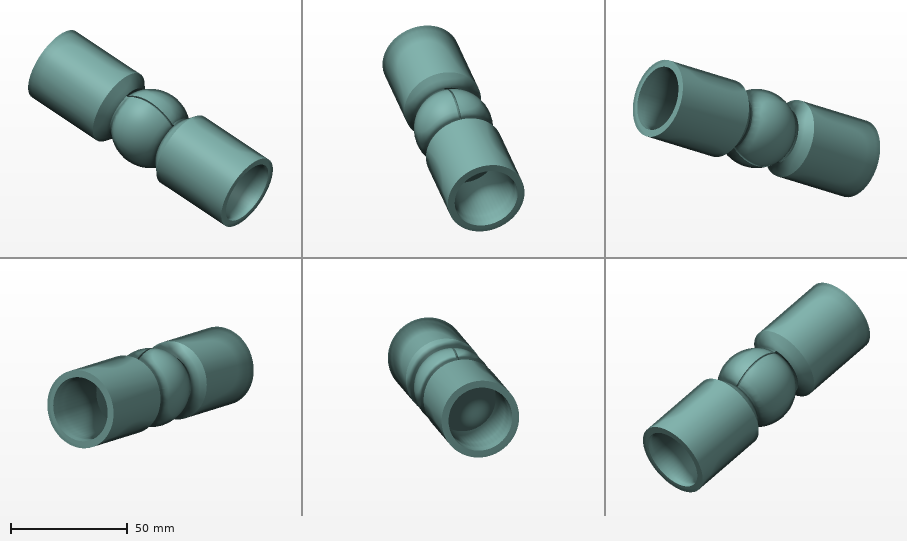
import cadquery as cq

overall_length = 109.0
outer_radius = 17.0
clearance = 1.0
wall = 3.0
neck_radius = 12.0

tube_end = overall_length / 2
bore_radius = outer_radius - wall
socket_radius = outer_radius + clearance
cone_start = socket_radius
cone_end = cone_start - (outer_radius - neck_radius)
bore_floor = socket_radius + wall
neck_end = (outer_radius**2 - neck_radius**2) ** 0.5 - clearance
half_gap = clearance / 2
disc_radius = outer_radius - clearance


def front_half_ball(radius, cut_y):
    """Part of a ball at the origin that lies on the -Y side of the plane y = cut_y."""
    box_size = 3 * radius
    half_space = cq.Workplane("XY").box(box_size, box_size, box_size)
    half_space = half_space.translate((0, cut_y - box_size / 2, 0))
    return cq.Workplane("XY").sphere(radius).intersect(half_space)


def tapered_tube():
    """Blind tube on the -X side, tapering to the neck that carries the ball."""
    profile = [
        (-tube_end, bore_radius),
        (-tube_end, outer_radius),
        (-cone_start, outer_radius),
        (-cone_end, neck_radius),
        (-neck_end, neck_radius),
        (-neck_end, 0),
        (-bore_floor, 0),
        (-bore_floor, bore_radius),
    ]
    return cq.Workplane("XY").polyline(profile).close().revolve(360, (0, 0, 0), (1, 0, 0))


def joint_half():
    """Tube with its own half ball in front and a socket for the other half ball behind."""
    socket = front_half_ball(socket_radius, half_gap).rotate((0, 0, 0), (0, 0, 1), 180)
    return tapered_tube().cut(socket).union(front_half_ball(outer_radius, -half_gap))


def hinge_disc():
    """Recessed disc that joins the flat faces of the two half balls."""
    return cq.Workplane("XZ").circle(disc_radius).extrude(half_gap, both=True)


left_half = joint_half()
right_half = left_half.rotate((0, 0, 0), (0, 0, 1), 180)
result = left_half.union(right_half).union(hinge_disc())